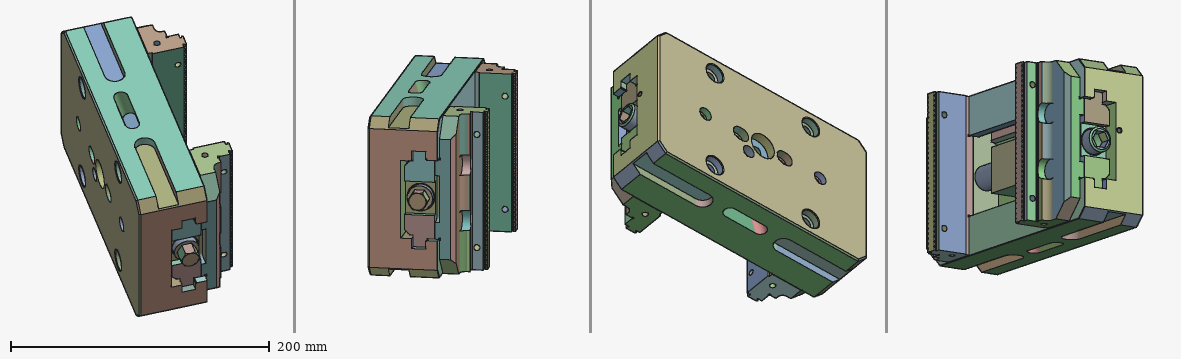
import cadquery as cq
import math


BASE_LENGTH = 209.8
BASE_HEIGHT = 55.0
BASE_WIDTH = 127.0
BASE_CORNER = 8.2
MOUNTING_EDGE = 1.3
TOP_EDGE = 0.5

CHANNEL_FLOOR = 26.0
CHANNEL_HALF_WIDTH = 31.0
TEE_BOTTOM = 34.6
TEE_TOP = 45.5
TEE_HALF_WIDTH = 39.0
NECK_HALF_WIDTH = 32.0
AXIS_HEIGHT = 40.0

CORNER_HOLE_X = 48.2
CORNER_HOLE_Z = 48.2
CORNER_BORE_DIA = 16.5
CORNER_BORE_DEPTH = 6.5
CORNER_BORE_CHAMFER = 0.6
CORNER_DRILL_DIA = 9.9
CORNER_DRILL_DEPTH = 10.8
CENTRE_BORE_DIA = 23.0
CENTRE_BORE_DEPTH = 8.0
CENTRE_HOLE_DIA = 8.8
INDEX_HOLE_X = -14.2
INDEX_HOLE_Z = -14.0
INDEX_HOLE_DIA = 10.8
INDEX_HOLE_DEPTH = 7.5
OIL_HOLE_X = 57.6
OIL_BORE_DIA = 11.5
OIL_BORE_DEPTH = 5.4
OIL_SINK_DIA = 6.9
OIL_HOLE_DIA = 2.4
SCREW_X = 22.0
SCREW_TRAVEL = 2.5
SCREW_HEAD_DIA = 12.5
SCREW_HEAD_DEPTH = 7.0
SCREW_SLOT_DIA = 7.5

RAIL_INNER_END = 32.7
RAIL_Y = 24.0
RAIL_WIDTH = 16.1
RAIL_DEPTH = 7.0
GRIP_LENGTH = 41.3
GRIP_WIDTH = 10.8
GRIP_DEPTH = 26.2
GRIP_Y = 21.5
GRIP_TILT = 15

END_HOLE_Y = 22.5
END_HOLE_Z = 9.2
END_HOLE_DIA = 3.7
END_HOLE_DEPTH = 6.5
END_HOLE_CHAMFER = 0.5

SLIDE_OUTER = -99.3
SLIDE_INNER = -55.3
SLIDE_BOTTOM = 28.0
SLIDE_TOP = 51.4
SLIDE_HALF_WIDTH = 29.5
SLIDE_CHAMFER = 4.0
TEE_PLAY = 0.2
SPINDLE_POCKET_WIDTH = 26.7
SPINDLE_POCKET_DEPTH = 5.0
BORE_CHAMFER = 0.9
RELIEF = 1.5

JAW_WIDTH = 126.0
JAW_BOTTOM = 55.5
JAW_LEDGE = 68.0
JAW_STEP = 75.0
JAW_SHOULDER = 84.3
JAW_TOP = 87.0
JAW_STEP_X = -75.2
JAW_BACK_X = -68.8
JAW_FACE_X = -54.0
JAW_FOOT_HEIGHT = 59.0
JAW_CORNER = 15.0
JAW_OUTER_CHAMFER = 3.9
LEDGE_FILLET = 5.0
RIDGE_X = -61.0
RIDGE_NECK = 7.3
RIDGE_WIDEST = 10.3
RIDGE_TIP = 8.8
RIDGE_WIDEST_Y = 86.0
TOOTH_NOTCHES = 31
NOTCH_DEPTH = 1.3
NOTCH_WIDTH = 2.4
TONGUE_BOTTOM = 51.8
TONGUE_POCKET_WIDTH = 37.5
TONGUE_POCKET_DEPTH = 9.0
TONGUE_POCKET_RADIUS = 2.8
BOLT_X = -76.8
BOLT_Z = 22.1
BOLT_BORE_DIA = 16.1
CROSS_HOLE_Y = 79.3
CROSS_HOLE_Z = 45.2
CROSS_HOLE_DIA = 4.7
SIDE_HOLE_X = -64.0
SIDE_HOLE_Y = 65.4
SIDE_HOLE_DIA = 4.7
SIDE_HOLE_DEPTH = 8.5

SPINDLE_START = -BASE_LENGTH / 2
SPINDLE_LENGTH = 215.0
SPINDLE_DIA = 20.0
SPINDLE_CHAMFER_LENGTH = 1.0
SPINDLE_CHAMFER_RISE = 1.7
SOCKET_FLATS = 12.5
SOCKET_DEPTH = 8.5
DRIVE_FLATS = 13.5
DRIVE_LENGTH = 10.8

BLOCK_LENGTH = 60.2
BLOCK_WIDTH = 36.5
BLOCK_HOLE_DIA = 4.7

PLUS_X = (1, 0, 0)
PLUS_Y = (0, 1, 0)
HEX_CORNERS = 2 / math.sqrt(3)
DRILL_HALF_ANGLE = 59


def drill(x, z, start, dia, depth):
    """Cylinder along +Y starting at height `start`, used as a cutter from below."""
    return cq.Workplane("XZ", origin=(x, start, z)).circle(dia / 2).extrude(-depth)


def cone(start, direction, start_dia, end_dia, depth):
    """Cone from `start_dia` at the point `start` to `end_dia`, `depth` along `direction`."""
    solid = cq.Solid.makeCone(start_dia / 2, end_dia / 2, depth, cq.Vector(*start), cq.Vector(*direction))
    return cq.Workplane(obj=solid)


def point_depth(dia):
    """Depth of the conical point left by a drill of this diameter."""
    return dia / 2 / math.tan(math.radians(DRILL_HALF_ANGLE))


def mirrored_profile(half):
    """Closed YZ profile from its +Z half, listed from the top down."""
    return half + [(y, -z) for y, z in reversed(half)]


def base_block():
    block = cq.Workplane("XY").box(BASE_LENGTH, BASE_HEIGHT, BASE_WIDTH, centered=(True, False, True))
    block = block.edges("|Y").chamfer(BASE_CORNER)
    block = block.faces("<Y").chamfer(MOUNTING_EDGE)
    return block.faces(">Y").chamfer(TOP_EDGE)


def guide_channel():
    half = [
        (BASE_HEIGHT, NECK_HALF_WIDTH),
        (TEE_TOP, NECK_HALF_WIDTH),
        (TEE_TOP, TEE_HALF_WIDTH),
        (TEE_BOTTOM, TEE_HALF_WIDTH),
        (TEE_BOTTOM, CHANNEL_HALF_WIDTH),
        (CHANNEL_FLOOR, CHANNEL_HALF_WIDTH),
    ]
    profile = cq.Workplane("YZ").polyline(mirrored_profile(half)).close()
    return profile.extrude(BASE_LENGTH / 2, both=True)


def neck_reliefs(height):
    """Square relief grooves along both edges of the channel neck at the given height."""
    edges = cq.Workplane("YZ").pushPoints([(height, -NECK_HALF_WIDTH), (height, NECK_HALF_WIDTH)])
    return edges.rect(RELIEF, RELIEF).extrude(BASE_LENGTH / 2, both=True)


def corner_hole(x, z):
    """Counterbore with a broken edge, then a blind drilled hole with its drill point."""
    drill_end = CORNER_BORE_DEPTH + CORNER_DRILL_DEPTH
    point = point_depth(CORNER_DRILL_DIA)
    rim = CORNER_BORE_DIA + 2 * CORNER_BORE_CHAMFER
    return (
        drill(x, z, 0, CORNER_BORE_DIA, CORNER_BORE_DEPTH)
        .union(cone((x, 0, z), PLUS_Y, rim, CORNER_BORE_DIA, CORNER_BORE_CHAMFER))
        .union(drill(x, z, 0, CORNER_DRILL_DIA, drill_end))
        .union(cone((x, drill_end, z), PLUS_Y, CORNER_DRILL_DIA, 0, point))
    )


def oil_hole(x):
    """Counterbore, countersink and a fine hole that opens into the channel."""
    sink_depth = (OIL_SINK_DIA - OIL_HOLE_DIA) / 2
    return (
        drill(x, 0, 0, OIL_BORE_DIA, OIL_BORE_DEPTH)
        .union(cone((x, OIL_BORE_DEPTH, 0), PLUS_Y, OIL_SINK_DIA, OIL_HOLE_DIA, sink_depth))
        .union(drill(x, 0, 0, OIL_HOLE_DIA, CHANNEL_FLOOR))
    )


def screw_slot(x):
    """Obround counterbore and slot through the channel floor, over a bearing block screw hole."""
    plane = cq.Workplane("XZ", origin=(x, 0, 0))
    head = plane.slot2D(SCREW_HEAD_DIA + SCREW_TRAVEL, SCREW_HEAD_DIA).extrude(-SCREW_HEAD_DEPTH)
    shank = plane.slot2D(SCREW_SLOT_DIA + SCREW_TRAVEL, SCREW_SLOT_DIA).extrude(-CHANNEL_FLOOR)
    return head.union(shank)


def mounting_holes():
    holes = drill(0, 0, 0, CENTRE_BORE_DIA, CENTRE_BORE_DEPTH)
    holes = holes.union(drill(0, 0, 0, CENTRE_HOLE_DIA, CHANNEL_FLOOR))
    holes = holes.union(drill(INDEX_HOLE_X, INDEX_HOLE_Z, 0, INDEX_HOLE_DIA, INDEX_HOLE_DEPTH))
    for side in (-1, 1):
        holes = holes.union(oil_hole(side * OIL_HOLE_X))
        holes = holes.union(screw_slot(side * SCREW_X))
        for z in (-CORNER_HOLE_Z, CORNER_HOLE_Z):
            holes = holes.union(corner_hole(side * CORNER_HOLE_X, z))
    return holes


def side_recesses():
    """Two clamping rails open at the ends and a tilted grip pocket, cut into the +Z side."""
    top = BASE_WIDTH / 2
    rail_length = BASE_LENGTH - RAIL_INNER_END
    recesses = cq.Workplane("XY")
    for side in (-1, 1):
        middle = side * (RAIL_INNER_END + rail_length / 2)
        plane = cq.Workplane("XY", origin=(middle, RAIL_Y, top - RAIL_DEPTH))
        recesses = recesses.add(plane.slot2D(rail_length, RAIL_WIDTH).extrude(RAIL_DEPTH))
    grip = cq.Workplane("XY").slot2D(GRIP_LENGTH, GRIP_WIDTH).extrude(GRIP_DEPTH + GRIP_WIDTH)
    grip = grip.translate((0, 0, -GRIP_DEPTH)).rotate((0, 0, 0), (1, 0, 0), GRIP_TILT)
    return recesses.add(grip.translate((0, GRIP_Y, top))).combine()


def end_hole():
    start = (-BASE_LENGTH / 2, END_HOLE_Y, END_HOLE_Z)
    hole = cq.Workplane("YZ", origin=start).circle(END_HOLE_DIA / 2).extrude(END_HOLE_DEPTH)
    rim = END_HOLE_DIA + 2 * END_HOLE_CHAMFER
    return hole.union(cone(start, PLUS_X, rim, END_HOLE_DIA, END_HOLE_CHAMFER))


def make_base():
    recesses = side_recesses()
    return (
        base_block()
        .cut(guide_channel())
        .cut(neck_reliefs(TEE_TOP))
        .cut(mounting_holes())
        .cut(recesses)
        .cut(recesses.mirror("XY"))
        .cut(end_hole())
    )


def axis_cylinder(start, end, dia):
    """Cylinder on the spindle axis between two X positions."""
    return cq.Workplane("YZ", origin=(start, AXIS_HEIGHT, 0)).circle(dia / 2).extrude(end - start)


def hex_socket():
    """Hexagonal socket in the -X end, with a conical bottom."""
    corners = SOCKET_FLATS * HEX_CORNERS
    bottom = SPINDLE_START + SOCKET_DEPTH
    point = point_depth(corners)
    plane = cq.Workplane("YZ", origin=(SPINDLE_START, AXIS_HEIGHT, 0))
    envelope = axis_cylinder(SPINDLE_START, bottom, corners)
    envelope = envelope.union(cone((bottom, AXIS_HEIGHT, 0), PLUS_X, corners, 0, point))
    return plane.polygon(6, corners).extrude(SOCKET_DEPTH + point).intersect(envelope)


def make_spindle():
    end = SPINDLE_START + SPINDLE_LENGTH
    shoulder = end - DRIVE_LENGTH
    body = axis_cylinder(SPINDLE_START, shoulder, SPINDLE_DIA)
    body = body.faces("<X").chamfer(SPINDLE_CHAMFER_LENGTH, SPINDLE_CHAMFER_RISE)

    drive_corners = DRIVE_FLATS * HEX_CORNERS
    drive_plane = cq.Workplane("YZ", origin=(shoulder, AXIS_HEIGHT, 0))
    drive = drive_plane.polygon(6, drive_corners).extrude(DRIVE_LENGTH)
    drive_round = axis_cylinder(shoulder, end, drive_corners)
    drive_round = drive_round.faces(">X").chamfer((drive_corners - DRIVE_FLATS) / 2)
    body = body.union(drive.intersect(drive_round))

    return body.cut(hex_socket())


def make_bearing_block():
    block = cq.Workplane("XY", origin=(0, CHANNEL_FLOOR, 0)).box(
        BLOCK_LENGTH, SLIDE_TOP - CHANNEL_FLOOR, BLOCK_WIDTH, centered=(True, False, True)
    )
    block = block.cut(axis_cylinder(-BLOCK_LENGTH / 2, BLOCK_LENGTH / 2, SPINDLE_DIA))
    for side in (-1, 1):
        hole_depth = AXIS_HEIGHT - CHANNEL_FLOOR
        block = block.cut(drill(side * SCREW_X, 0, CHANNEL_FLOOR, BLOCK_HOLE_DIA, hole_depth))
    return block


def make_slide():
    """The -X slide: a T-shaped nut on the spindle with a pocket in its outer end."""
    tee = TEE_HALF_WIDTH - TEE_PLAY
    half = [
        (SLIDE_TOP, NECK_HALF_WIDTH),
        (TEE_TOP, NECK_HALF_WIDTH),
        (TEE_TOP, tee),
        (TEE_BOTTOM, tee),
        (TEE_BOTTOM, SLIDE_HALF_WIDTH),
        (SLIDE_BOTTOM + SLIDE_CHAMFER, SLIDE_HALF_WIDTH),
        (SLIDE_BOTTOM, SLIDE_HALF_WIDTH - SLIDE_CHAMFER),
    ]
    plane = cq.Workplane("YZ", origin=(SLIDE_OUTER, 0, 0))
    slide = plane.polyline(mirrored_profile(half)).close().extrude(SLIDE_INNER - SLIDE_OUTER)

    pocket_middle = (SLIDE_BOTTOM + SLIDE_TOP) / 2
    pocket = plane.center(pocket_middle, 0).rect(SLIDE_TOP - SLIDE_BOTTOM, SPINDLE_POCKET_WIDTH)
    slide = slide.cut(pocket.extrude(SPINDLE_POCKET_DEPTH))

    floor = SLIDE_OUTER + SPINDLE_POCKET_DEPTH
    slide = slide.cut(axis_cylinder(floor, SLIDE_INNER, SPINDLE_DIA))
    rim = SPINDLE_DIA + 2 * BORE_CHAMFER
    return slide.cut(cone((floor, AXIS_HEIGHT, 0), PLUS_X, rim, SPINDLE_DIA, BORE_CHAMFER))


def jaw_blank():
    """Stepped jaw section in XY, with the chamfered outer end and cut corners."""
    section = (
        cq.Workplane("XY")
        .moveTo(SLIDE_OUTER, JAW_BOTTOM)
        .lineTo(SLIDE_OUTER, JAW_LEDGE - JAW_OUTER_CHAMFER)
        .lineTo(SLIDE_OUTER + JAW_OUTER_CHAMFER, JAW_LEDGE)
        .lineTo(JAW_STEP_X - LEDGE_FILLET, JAW_LEDGE)
        .radiusArc((JAW_STEP_X, JAW_LEDGE + LEDGE_FILLET), -LEDGE_FILLET)
        .lineTo(JAW_STEP_X, JAW_STEP)
        .lineTo(JAW_BACK_X, JAW_STEP)
        .lineTo(JAW_BACK_X, JAW_SHOULDER)
        .lineTo(JAW_FACE_X, JAW_SHOULDER)
        .lineTo(JAW_FACE_X, JAW_FOOT_HEIGHT)
        .lineTo(SLIDE_INNER, JAW_FOOT_HEIGHT)
        .lineTo(SLIDE_INNER, JAW_BOTTOM)
        .close()
    )
    blank = section.extrude(JAW_WIDTH / 2, both=True)
    for side in (-1, 1):
        edge = side * JAW_WIDTH / 2
        corner = cq.Workplane("XZ").polyline(
            [
                (SLIDE_OUTER, edge),
                (SLIDE_OUTER + JAW_CORNER, edge),
                (SLIDE_OUTER, edge - side * JAW_CORNER),
            ]
        )
        blank = blank.cut(corner.close().extrude(-JAW_LEDGE))
    relief = cq.Workplane("XY", origin=(JAW_BACK_X, JAW_STEP, 0)).rect(RELIEF, RELIEF)
    return blank.cut(relief.extrude(JAW_WIDTH / 2, both=True))


def gripping_ridge():
    """Dovetail ridge along the jaw top, notched on both flanks into gripping teeth."""
    half = [
        (RIDGE_NECK / 2, JAW_SHOULDER),
        (RIDGE_NECK / 2, JAW_SHOULDER + (RIDGE_WIDEST_Y - JAW_SHOULDER) / 2),
        (RIDGE_WIDEST / 2, RIDGE_WIDEST_Y),
        (RIDGE_TIP / 2, JAW_TOP),
    ]
    outline = half + [(-x, y) for x, y in reversed(half)]
    ridge = cq.Workplane("XY", origin=(RIDGE_X, 0, 0)).polyline(outline).close()
    ridge = ridge.extrude(JAW_WIDTH / 2, both=True)

    flank = RIDGE_WIDEST / 2
    pitch = JAW_WIDTH / (TOOTH_NOTCHES + 1 / 2)
    notches = cq.Workplane("XZ", origin=(RIDGE_X, JAW_SHOULDER, 0))
    for index in range(TOOTH_NOTCHES):
        z = (index - (TOOTH_NOTCHES - 1) / 2) * pitch
        for side in (-1, 1):
            notches = notches.polyline(
                [
                    (side * flank, z - NOTCH_WIDTH / 2),
                    (side * (flank - NOTCH_DEPTH), z),
                    (side * flank, z + NOTCH_WIDTH / 2),
                ]
            ).close()
    return ridge.cut(notches.extrude(JAW_SHOULDER - JAW_TOP))


def jaw_tongue():
    """Tongue filling the channel neck above the slide, pocketed at its outer end."""
    length = SLIDE_INNER - SLIDE_OUTER
    tongue = cq.Workplane("XY", origin=(SLIDE_OUTER, TONGUE_BOTTOM, 0)).box(
        length, JAW_BOTTOM - TONGUE_BOTTOM, 2 * NECK_HALF_WIDTH, centered=(False, False, True)
    )
    pocket = cq.Workplane("XY", origin=(SLIDE_OUTER, TONGUE_BOTTOM, 0)).box(
        TONGUE_POCKET_DEPTH, JAW_BOTTOM - TONGUE_BOTTOM, TONGUE_POCKET_WIDTH, centered=(False, False, True)
    )
    return tongue.cut(pocket.edges("|Y and >X").fillet(TONGUE_POCKET_RADIUS))


def jaw_holes():
    """Bolt recesses in the ledge, cross holes along X and a blind hole in each side."""
    holes = cq.Workplane("XY")
    side_floor = JAW_WIDTH / 2 - SIDE_HOLE_DEPTH
    for side in (-1, 1):
        holes = holes.add(drill(BOLT_X, side * BOLT_Z, JAW_LEDGE, BOLT_BORE_DIA, JAW_STEP - JAW_LEDGE))
        cross = cq.Workplane("YZ", origin=(JAW_BACK_X, CROSS_HOLE_Y, side * CROSS_HOLE_Z))
        holes = holes.add(cross.circle(CROSS_HOLE_DIA / 2).extrude(JAW_FACE_X - JAW_BACK_X))
        bottom = (SIDE_HOLE_X, SIDE_HOLE_Y, side * side_floor)
        blind = cq.Workplane("XY", origin=bottom)
        holes = holes.add(blind.circle(SIDE_HOLE_DIA / 2).extrude(side * SIDE_HOLE_DEPTH))
        holes = holes.add(cone(bottom, (0, 0, -side), SIDE_HOLE_DIA, 0, point_depth(SIDE_HOLE_DIA)))
    return holes.combine()


def make_jaw():
    """The -X jaw."""
    jaw = jaw_blank().union(gripping_ridge()).union(jaw_tongue())
    return jaw.cut(neck_reliefs(JAW_BOTTOM)).cut(jaw_holes())


base = make_base()
spindle = make_spindle()
bearing_block = make_bearing_block()
slide = make_slide()
jaw = make_jaw()
slides = [slide.val(), slide.mirror("YZ").val()]
jaws = [jaw.val(), jaw.mirror("YZ").val()]

result = cq.Compound.makeCompound([base.val(), spindle.val(), bearing_block.val(), *slides, *jaws])